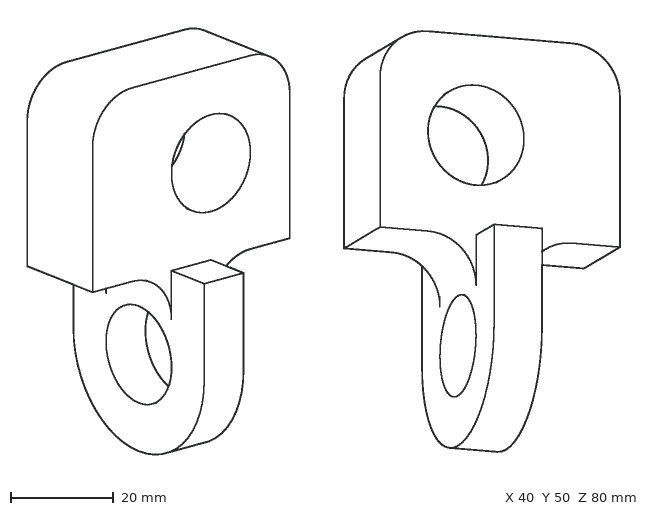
import cadquery as cq

unit = 10.0

plate_thickness = unit
hole_radius = unit
round_radius = unit
plate_width = 4 * unit
plate_height = plate_width
plate_end_radius = plate_width / 2

block_width = 2 * unit
block_depth = 5 * unit
block_height = 4 * unit
block_hole_y = plate_thickness / 2
block_hole_z = plate_height + block_height / 2


def make_plate():
    """Upright lug with a half-round lower end centred on its hole."""
    return (
        cq.Workplane("XZ")
        .moveTo(-plate_end_radius, plate_height)
        .lineTo(-plate_end_radius, plate_end_radius)
        .threePointArc((0, 0), (plate_end_radius, plate_end_radius))
        .lineTo(plate_end_radius, plate_height)
        .close()
        .extrude(plate_thickness / 2, both=True)
    )


def make_block():
    """Cross block with rounded upper edges and concave flares down onto the plate."""
    half_depth = block_depth / 2
    half_plate = plate_thickness / 2
    flare_start = half_plate + round_radius
    flare_bottom = plate_height - round_radius
    top = plate_height + block_height
    return (
        cq.Workplane("YZ")
        .moveTo(-half_plate, flare_bottom)
        .radiusArc((-flare_start, plate_height), -round_radius)
        .lineTo(-half_depth, plate_height)
        .lineTo(-half_depth, top - round_radius)
        .radiusArc((-half_depth + round_radius, top), round_radius)
        .lineTo(half_depth - round_radius, top)
        .radiusArc((half_depth, top - round_radius), round_radius)
        .lineTo(half_depth, plate_height)
        .lineTo(flare_start, plate_height)
        .radiusArc((half_plate, flare_bottom), -round_radius)
        .close()
        .extrude(block_width / 2, both=True)
    )


def make_hole(plane, across, height, length):
    """Cylinder that cuts a through hole along the normal of the plane."""
    return (
        cq.Workplane(plane)
        .center(across, height)
        .circle(hole_radius)
        .extrude(length, both=True)
    )


plate_hole = make_hole("XZ", 0, plate_end_radius, plate_thickness)
block_hole = make_hole("YZ", block_hole_y, block_hole_z, block_width)

result = make_plate().union(make_block()).cut(plate_hole).cut(block_hole)